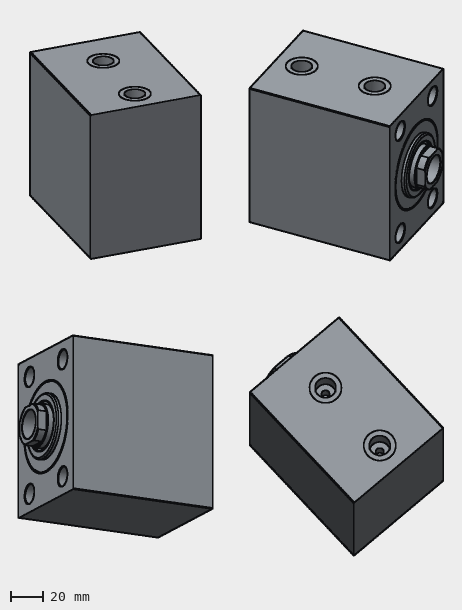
import cadquery as cq
import math


OVERALL_LENGTH = 110.0

BLOCK_LENGTH = 98.0
BLOCK_WIDTH = 75.0
BLOCK_HEIGHT = 100.0
BLOCK_EDGE_CHAMFER = 0.5
BORE_DIA = 57.5
BORE_DEPTH = 88.0
BORE_CHAMFER = 0.9

MOUNT_PITCH_Y = 45.0
MOUNT_PITCH_Z = 76.0
MOUNT_DIA = 12.3
MOUNT_CHAMFER = 0.4
MOUNT_DEPTH = 22.0

PORT_POSITIONS = (29.3, 80.3)
PORT_SEAT_DIA = 20.0
PORT_SEAT_DEPTH = 0.1
PORT_DIA = 13.1
PORT_DEPTH = 12.1
PASSAGE_DIA = 5.1

GLAND_DEPTH = 29.6
BOSS_DIA = 42.0
BOSS_PROJECTION = 3.0
BOSS_CHAMFER = 1.0
WIPER_STEP_DIA = 32.5
WIPER_STEP_DEPTH = 0.3
WIPER_RECESS_DIA = 31.5
WIPER_RECESS_DEPTH = 1.3

ROD_DIA = 28.0
ROD_PROJECTION = 6.0
NECK_DIA = 27.0
NECK_FLATS = 24.0
ROD_CHAMFER = 0.5
ROD_TIP_PROJECTION = OVERALL_LENGTH - BLOCK_LENGTH
ROD_HOLE_DIA = 18.5
ROD_HOLE_DEPTH = 22.0
ROD_HOLE_CHAMFER = 0.2

DRILL_POINT_ANGLE = 118.0


def cylinder(diameter, start, end):
    """Cylinder on the X axis between two X positions."""
    return cq.Workplane("YZ", origin=(start, 0, 0)).circle(diameter / 2).extrude(end - start)


def revolve_profile(points):
    """Turned solid from a closed (x, radius) outline."""
    return cq.Workplane("XY").polyline(points).close().revolve(360, (0, 0, 0), (1, 0, 0))


def drilled_hole(diameter, start, depth, chamfer=0.0):
    """Cutter on the X axis: blind hole with a drill point and an optional entry chamfer."""
    radius = diameter / 2
    point_length = radius / math.tan(math.radians(DRILL_POINT_ANGLE / 2))
    outline = [(start, 0), (start, radius + chamfer)]
    if chamfer > 0:
        outline.append((start + chamfer, radius))
    outline += [(start + depth, radius), (start + depth + point_length, 0)]
    return revolve_profile(outline)


def port_cutter(x):
    """Stepped oil port: spot face, port bore and narrow passage down to the cylinder bore."""
    top = BLOCK_HEIGHT / 2
    steps = (
        (PORT_SEAT_DIA, PORT_SEAT_DEPTH),
        (PORT_DIA, PORT_DEPTH),
        (PASSAGE_DIA, top),
    )
    cutter = cq.Workplane("XY")
    for diameter, depth in steps:
        step = cq.Workplane("XY", origin=(x, 0, top)).circle(diameter / 2).extrude(-depth)
        cutter = cutter.union(step)
    return cutter


def make_housing():
    block = cq.Workplane("XY").box(BLOCK_LENGTH, BLOCK_WIDTH, BLOCK_HEIGHT, centered=(False, True, True))
    block = block.edges("|X").chamfer(BLOCK_EDGE_CHAMFER)

    bore_radius = BORE_DIA / 2
    bore = revolve_profile([
        (0, 0),
        (0, bore_radius + BORE_CHAMFER),
        (BORE_CHAMFER, bore_radius),
        (BORE_DEPTH, bore_radius),
        (BORE_DEPTH, 0),
    ])
    block = block.cut(bore)

    mount_hole = drilled_hole(MOUNT_DIA, 0, MOUNT_DEPTH, MOUNT_CHAMFER)
    for side_y in (-1, 1):
        for side_z in (-1, 1):
            place = (0, side_y * MOUNT_PITCH_Y / 2, side_z * MOUNT_PITCH_Z / 2)
            block = block.cut(mount_hole.translate(place))

    for x in PORT_POSITIONS:
        block = block.cut(port_cutter(x))
    return block


def make_gland():
    plug = cylinder(BORE_DIA, 0, GLAND_DEPTH)
    boss = cylinder(BOSS_DIA, -BOSS_PROJECTION, 0).faces("<X").chamfer(BOSS_CHAMFER)
    gland = plug.union(boss).cut(cylinder(ROD_DIA, -BOSS_PROJECTION, GLAND_DEPTH))

    for diameter, depth in (
        (WIPER_STEP_DIA, WIPER_STEP_DEPTH),
        (WIPER_RECESS_DIA, WIPER_RECESS_DEPTH),
    ):
        gland = gland.cut(cylinder(diameter, -BOSS_PROJECTION, depth - BOSS_PROJECTION))
    return gland


def make_piston_rod():
    piston = cylinder(BORE_DIA, GLAND_DEPTH, BORE_DEPTH)
    rod = cylinder(ROD_DIA, -ROD_PROJECTION, GLAND_DEPTH).faces("<X").chamfer(ROD_CHAMFER)

    neck_length = ROD_TIP_PROJECTION - ROD_PROJECTION
    neck = cylinder(NECK_DIA, -ROD_TIP_PROJECTION, -ROD_PROJECTION).faces("<X").chamfer(ROD_CHAMFER)
    neck_plane = cq.Workplane("YZ", origin=(-ROD_TIP_PROJECTION, 0, 0))
    flats = neck_plane.rect(NECK_FLATS, NECK_FLATS).extrude(neck_length)

    body = piston.union(rod).union(neck.intersect(flats))
    return body.cut(drilled_hole(ROD_HOLE_DIA, -ROD_TIP_PROJECTION, ROD_HOLE_DEPTH, ROD_HOLE_CHAMFER))


housing = make_housing()
gland = make_gland()
piston_rod = make_piston_rod()

result = cq.Compound.makeCompound([housing.val(), gland.val(), piston_rod.val()])